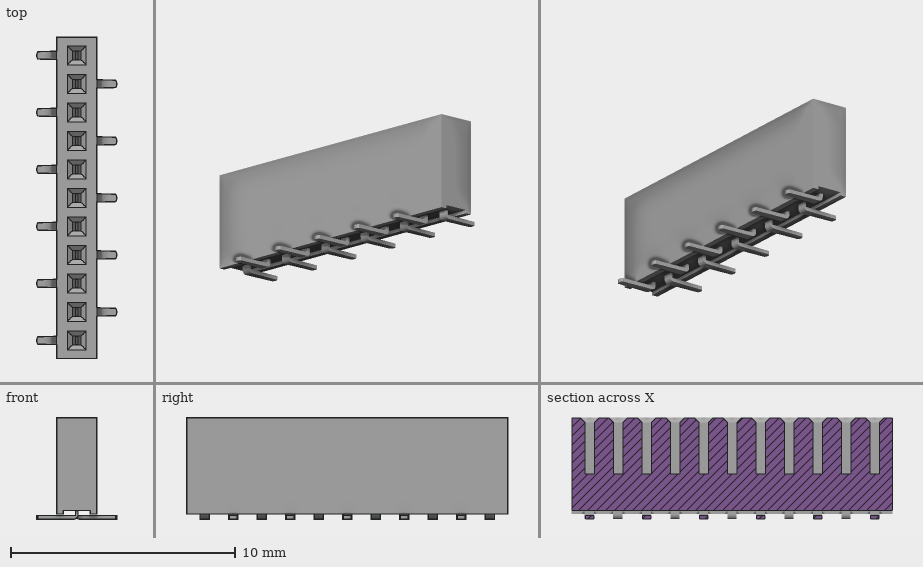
import cadquery as cq
import math

contact_count = 11
pitch = 1.27
overall_height = 4.53

body_width = 1.8
body_length = 14.32
body_height = 4.3
body_bottom = overall_height - body_height

channel_width = 1.2
channel_depth = 0.15

mouth_size = 0.84
throat_size = 0.4
funnel_depth = 0.22
socket_depth = 2.5
socket_floor = overall_height - socket_depth

tail_span = 3.58
tail_reach = tail_span / 2
tail_thickness = 0.17
root_width = 0.42
tip_width = 0.34
tip_bulge = 0.06
leg_thickness = 0.12
bend_radius = 0.2
blade_width = 0.36
blade_rise = 0.2
blade_top = socket_floor + blade_rise
channel_roof = body_bottom + channel_depth


def housing():
    """Rectangular block with a channel along the whole underside."""
    block = (
        cq.Workplane("XY")
        .workplane(offset=body_bottom)
        .rect(body_width, body_length)
        .extrude(body_height)
    )
    channel = (
        cq.Workplane("XY")
        .workplane(offset=body_bottom)
        .rect(channel_width, body_length)
        .extrude(channel_depth)
    )
    return block.cut(channel)


def socket_cutter(y):
    """Tapered mouth that leads into a square blind hole."""
    funnel = (
        cq.Workplane("XY")
        .workplane(offset=overall_height)
        .center(0, y)
        .rect(mouth_size, mouth_size)
        .workplane(offset=-funnel_depth)
        .rect(throat_size, throat_size)
        .loft(ruled=True)
    )
    hole = (
        cq.Workplane("XY")
        .workplane(offset=socket_floor)
        .center(0, y)
        .rect(throat_size, throat_size)
        .extrude(socket_depth - funnel_depth)
    )
    return funnel.union(hole)


def contact(y, side):
    """L-shaped pin: upright blade, rounded bend and a tapered tail toward side (-1 or +1)."""
    heel = -side * leg_thickness / 2
    bend_end = heel + side * bend_radius
    shoulder = side * (tail_reach - tip_bulge)
    tip = side * tail_reach
    root_half = root_width / 2
    tip_half = tip_width / 2

    bend_mid_offset = bend_radius * (1 - math.sqrt(0.5))
    strip = (
        cq.Workplane("XZ", origin=(0, y, 0))
        .moveTo(tip, 0)
        .lineTo(bend_end, 0)
        .threePointArc((heel + side * bend_mid_offset, bend_mid_offset), (heel, bend_radius))
        .lineTo(heel, channel_roof)
        .lineTo(-heel, channel_roof)
        .lineTo(-heel, tail_thickness)
        .lineTo(tip, tail_thickness)
        .close()
        .extrude(root_half, both=True)
    )
    plan = (
        cq.Workplane("XY")
        .moveTo(heel, y - root_half)
        .lineTo(bend_end, y - root_half)
        .lineTo(shoulder, y - tip_half)
        .threePointArc((tip, y), (shoulder, y + tip_half))
        .lineTo(bend_end, y + root_half)
        .lineTo(heel, y + root_half)
        .close()
        .extrude(channel_roof)
    )
    blade = (
        cq.Workplane("XY")
        .workplane(offset=channel_roof)
        .center(0, y)
        .rect(leg_thickness, blade_width)
        .extrude(blade_top - channel_roof)
    )
    return strip.intersect(plan).union(blade)


result = housing()
for index in range(contact_count):
    contact_y = (index - (contact_count - 1) / 2) * pitch
    tail_side = -1 if index % 2 == 0 else 1
    result = result.cut(socket_cutter(contact_y))
    result = result.union(contact(contact_y, tail_side))